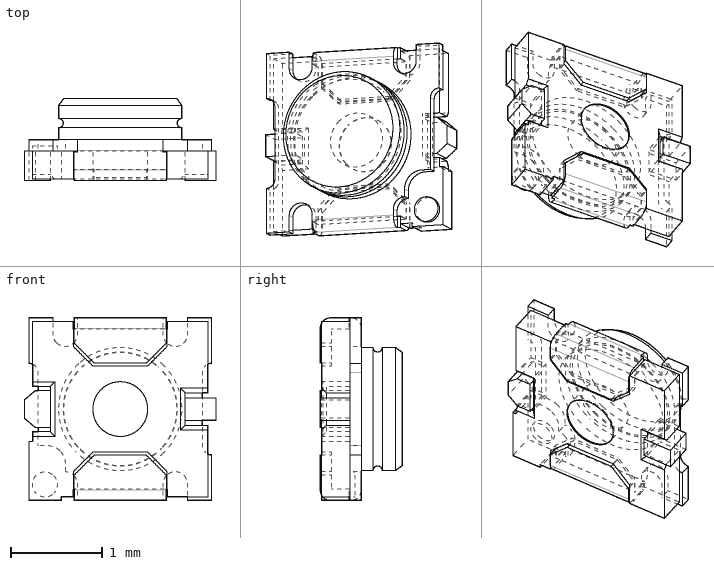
import cadquery as cq


housing_front = 0.0175
plate_front = 0.325
plate_back = 0.45
barrel_end = 0.90

shell_half = 1.0
housing_half = 0.96

barrel_radius = 0.675
lip_setback = 0.055
lip_length = 0.075
groove_radius = 0.05
groove_centre = 0.63

waist_half_width = 0.90
waist_straight = 0.80
slot_outer = 0.735
slot_inner = 0.47
slot_end = 0.685
key_corner_x = -0.60
key_corner_z = -0.40
key_fillet = 0.20

sheet = plate_back - plate_front
tab_half_width = 0.505
tab_shoulder = 0.315
bend_radius = 0.117
pad_end = 0.503
pad_chamfer = 0.22

pocket_half_width = 0.512
pocket_end = 0.47
pocket_chamfer = 0.213

lug_top = -0.353
lug_inner = -0.645
post_centre = -0.825
post_radius = 0.137
post_end = 0.38

contact_tip = 1.05
signal_root = 0.766
signal_half = 0.203
signal_bevel_length = 0.12
signal_bevel_height = 0.103
signal_notch_half = 0.248
ground_root = 0.71
ground_half = 0.123
ground_notch_half = 0.178
notch_chamfer = 0.05

centre_radius = 0.30
centre_recess = 0.015


def block(x_range, y_range, z_range):
    """Axis-aligned box between the given limits."""
    sizes = [high - low for low, high in (x_range, y_range, z_range)]
    corner = (x_range[0], y_range[0], z_range[0])
    return cq.Workplane("XY").box(*sizes, centered=False).translate(corner)


def rod(radius, x, z, y_low, y_high):
    """Cylinder along Y."""
    return cq.Workplane("XZ", origin=(x, y_high, z)).circle(radius).extrude(y_high - y_low)


def both_ends(body):
    """The body at +Z joined with its mirror image at -Z."""
    return body.union(body.mirror("XY"))


def make_barrel():
    lip_start = barrel_end - lip_length
    groove_floor = barrel_radius - groove_radius
    return (
        cq.Workplane("YZ")
        .moveTo(plate_back, 0)
        .lineTo(plate_back, barrel_radius)
        .lineTo(groove_centre - groove_radius, barrel_radius)
        .radiusArc((groove_centre, groove_floor), -groove_radius)
        .radiusArc((groove_centre + groove_radius, barrel_radius), -groove_radius)
        .lineTo(lip_start, barrel_radius)
        .lineTo(barrel_end, barrel_radius - lip_setback)
        .lineTo(barrel_end, 0)
        .close()
        .revolve(360, (0, 0, 0), (1, 0, 0))
    )


def make_plate():
    depth = (plate_front, plate_back)
    plate = block((-shell_half, shell_half), depth, (-shell_half, shell_half))

    relief_width = slot_outer - slot_inner
    relief_x = (slot_outer + slot_inner) / 2
    relief_length = 2 * (shell_half - slot_end)
    waist_width = 2 * (shell_half - waist_half_width)
    cutting_plane = cq.Workplane("XZ", origin=(0, plate_back, 0))
    reliefs = (
        cutting_plane.rect(2 * relief_x, 2 * shell_half, forConstruction=True)
        .vertices()
        .slot2D(relief_length, relief_width, 90)
        .extrude(sheet)
    )
    waists = (
        cutting_plane.pushPoints([(-shell_half, 0), (shell_half, 0)])
        .slot2D(waist_straight + waist_width, waist_width, 90)
        .extrude(sheet)
    )

    key_cut = block((-shell_half, key_corner_x), depth, (-shell_half, key_corner_z))
    key_cut = key_cut.edges("|Y and >X and >Z").fillet(key_fillet)
    plate = plate.cut(reliefs).cut(waists).cut(key_cut)

    for end in (-shell_half, shell_half):
        bend_edge = cq.selectors.NearestToPointSelector((0, plate_back, end))
        plate = plate.edges(bend_edge).fillet(bend_radius)
    return plate


def make_tab():
    wall_inside = shell_half - sheet
    wall = block((-tab_half_width, tab_half_width), (0, tab_shoulder), (wall_inside, shell_half))
    neck = block((-slot_inner, slot_inner), (tab_shoulder, plate_front), (wall_inside, shell_half))
    pad = block((-tab_half_width, tab_half_width), (0, sheet), (pad_end, wall_inside))
    pad = pad.edges("|Y and <Z").chamfer(pad_chamfer)
    tab = wall.union(pad).edges("<Y and >Z").fillet(bend_radius)
    return tab.union(neck)


def make_shell():
    return make_plate().union(make_barrel()).union(both_ends(make_tab()))


def make_tab_pocket():
    floor = (housing_front, sheet)
    width = (-pocket_half_width, pocket_half_width)
    pad_pocket = block(width, floor, (pocket_end, housing_half))
    pad_pocket = pad_pocket.edges("|Y and <Z").chamfer(pocket_chamfer)
    wall_slot = block(width, (housing_front, plate_front), (shell_half - sheet, shell_half))
    return pad_pocket.union(wall_slot)


def make_notch(root, half_width):
    """Through notch on the +X side with a chamfered front rim."""
    straight = block((root, shell_half), (housing_front, plate_front), (-half_width, half_width))
    rim = (
        cq.Workplane("XZ", origin=(shell_half, housing_front, 0))
        .rect(2 * (shell_half - root + notch_chamfer), 2 * (half_width + notch_chamfer))
        .workplane(offset=-notch_chamfer)
        .rect(2 * (shell_half - root), 2 * half_width)
        .loft(ruled=True)
    )
    return straight.union(rim)


def make_housing():
    depth = (housing_front, plate_front)
    body = block((-housing_half, housing_half), depth, (-housing_half, housing_half))
    lug = block((-shell_half, lug_inner), depth, (-shell_half, lug_top))
    post = rod(post_radius, post_centre, post_centre, plate_front, post_end)
    signal_notch = make_notch(signal_root, signal_notch_half).mirror("YZ")
    ground_notch = make_notch(ground_root, ground_notch_half)
    centre_hole = rod(centre_radius, 0, 0, *depth)
    return (
        body.union(lug)
        .union(post)
        .cut(both_ends(make_tab_pocket()))
        .cut(signal_notch)
        .cut(ground_notch)
        .cut(centre_hole)
    )


def make_signal_contact():
    contact = block((-contact_tip, -signal_root), (0, plate_front), (-signal_half, signal_half))
    bevel_outline = [
        (-contact_tip, signal_half),
        (-contact_tip + signal_bevel_length, signal_half),
        (-contact_tip, signal_half - signal_bevel_height),
    ]
    bevel_plane = cq.Workplane("XZ", origin=(0, plate_front, 0))
    bevel = bevel_plane.polyline(bevel_outline).close().extrude(plate_front)
    return contact.cut(both_ends(bevel))


def make_ground_contact():
    return block((ground_root, contact_tip), (0, plate_front), (-ground_half, ground_half))


def make_centre_contact():
    return rod(centre_radius, 0, 0, housing_front + centre_recess, plate_front)


shell = make_shell()
housing = make_housing()
signal_contact = make_signal_contact()
ground_contact = make_ground_contact()
centre_contact = make_centre_contact()

result = cq.Compound.makeCompound([
    shell.val(),
    housing.val(),
    signal_contact.val(),
    ground_contact.val(),
    centre_contact.val(),
])